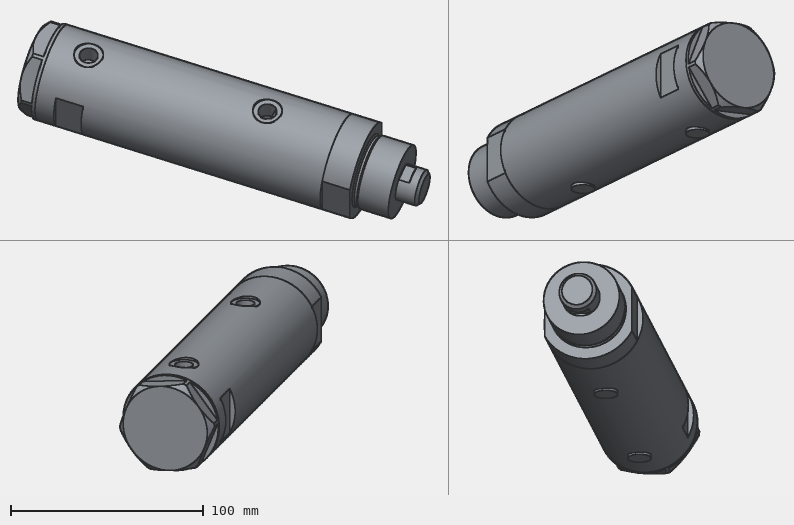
import cadquery as cq
import math

cap_hex_length = 8.7
cap_end = 10.6
housing_end = 169.0
head_flats_end = 184.5
groove_end = 187.7
head_end = 204.6
total_length = 217.0

outer_radius = 26.0
across_flats = 46.0
head_nose_radius = 20.0

clearance_size = 4 * outer_radius

hex_sides = 6
hex_turn = 8.0
cap_spigot_end = 43.5

bore_radius = 15.2
counterbore_radius = 21.7
flat_start = 21.0
flat_length = 15.2
port_positions = (30.4, 129.8)
port_radius = 4.8
spotface_radius = 7.5
spotface_height = 24.7
boss_positions = (35.0, 132.8)
boss_radius = 6.0
boss_bottom = 27.1

head_spigot_start = 132.4
groove_depth = 0.9
groove_slope = 0.9

spindle_radius = 9.8
spindle_flats_height = 16.7
spindle_flats_end = 210.5
spindle_tip_chamfer = 1.7


def x_cylinder(start, end, radius):
    """Solid cylinder on the X axis."""
    return cq.Workplane("YZ", origin=(start, 0, 0)).circle(radius).extrude(end - start)


def x_box(start, end, width, height):
    """Box centred on the X axis."""
    return cq.Workplane("YZ", origin=(start, 0, 0)).rect(width, height).extrude(end - start)


def z_cylinder(x, bottom, top, radius):
    """Solid cylinder parallel to Z, standing over the X axis."""
    return cq.Workplane("XY", origin=(x, 0, bottom)).circle(radius).extrude(top - bottom)


def make_cap():
    """End cap: chamfered hexagon, round flange and a spigot in the housing bore."""
    across_corners = across_flats / math.cos(math.pi / hex_sides)
    corner_chamfer = outer_radius - across_flats / 2
    hexagon = (
        cq.Workplane("YZ")
        .polygon(hex_sides, across_corners)
        .extrude(cap_hex_length)
    )
    chamfered_round = x_cylinder(0, cap_hex_length, outer_radius).faces("<X").chamfer(corner_chamfer)
    flange = x_cylinder(cap_hex_length, cap_end, outer_radius)
    spigot = x_cylinder(cap_end, cap_spigot_end, bore_radius)
    cap = hexagon.intersect(chamfered_round).union(flange).union(spigot)
    return cap.rotate((0, 0, 0), (1, 0, 0), -hex_turn)


def make_housing():
    """Tubular housing with wrench flats, two top ports and two bottom bosses."""
    housing = x_cylinder(cap_end, housing_end, outer_radius)
    for x in boss_positions:
        housing = housing.union(z_cylinder(x, -boss_bottom, 0, boss_radius))
    housing = housing.cut(x_cylinder(cap_end, housing_end, bore_radius))
    housing = housing.cut(x_cylinder(head_spigot_start, housing_end, counterbore_radius))

    flat_end = flat_start + flat_length
    outside = x_box(flat_start, flat_end, clearance_size, clearance_size)
    between_flats = x_box(flat_start, flat_end, across_flats, clearance_size)
    housing = housing.cut(outside.cut(between_flats))

    for x in port_positions:
        port = z_cylinder(x, 0, outer_radius, port_radius)
        spotface = z_cylinder(x, spotface_height, outer_radius, spotface_radius)
        housing = housing.cut(port).cut(spotface)
    return housing


def make_head():
    """Front head: spigot, flanked flange, relief groove and nose, bored for the spindle."""
    groove_radius = head_nose_radius - groove_depth
    profile = [
        (head_spigot_start, 0),
        (head_spigot_start, counterbore_radius),
        (housing_end, counterbore_radius),
        (housing_end, outer_radius),
        (head_flats_end, outer_radius),
        (head_flats_end, head_nose_radius),
        (head_flats_end + groove_slope, groove_radius),
        (groove_end - groove_slope, groove_radius),
        (groove_end, head_nose_radius),
        (head_end, head_nose_radius),
        (head_end, 0),
    ]
    head = cq.Workplane("XZ").polyline(profile).close().revolve(360, (0, 0, 0), (1, 0, 0))
    head = head.intersect(x_box(head_spigot_start, head_end, across_flats, clearance_size))
    return head.cut(x_cylinder(head_spigot_start, head_end, spindle_radius))


def make_spindle():
    """Spindle running from the cap spigot to the tip, with two flats behind the tip."""
    shaft = x_cylinder(cap_spigot_end, total_length, spindle_radius)
    shaft = shaft.faces(">X").chamfer(spindle_tip_chamfer)
    outside = x_box(head_end, spindle_flats_end, clearance_size, clearance_size)
    between_flats = x_box(head_end, spindle_flats_end, clearance_size, spindle_flats_height)
    return shaft.cut(outside.cut(between_flats))


cap = make_cap()
housing = make_housing()
head = make_head()
spindle = make_spindle()

result = cq.Compound.makeCompound([cap.val(), housing.val(), head.val(), spindle.val()])